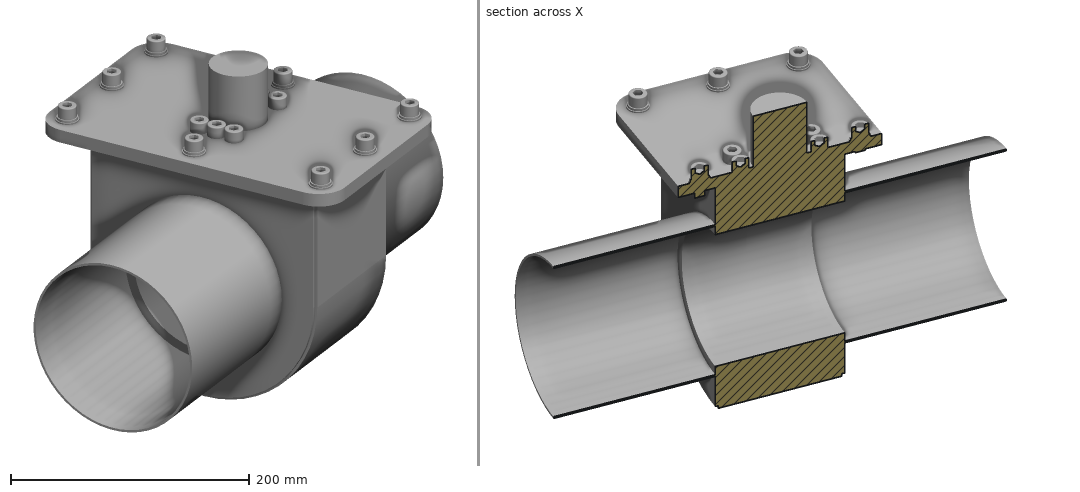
import cadquery as cq
import math

PIPE_LENGTH = 420.0
PIPE_OUTER_D = 154.0
PIPE_INNER_D = 150.0
BORE_D = 133.0

BODY_RADIUS = 110.0
BODY_DEPTH = 120.0
BODY_STEP = 2.5

PLATE_LENGTH = 287.0
PLATE_WIDTH = 189.0
PLATE_THICKNESS = 11.8
PLATE_CORNER_RADIUS = 25.0
PLATE_TOP = 125.5
PLATE_BOTTOM = PLATE_TOP - PLATE_THICKNESS

OVERALL_HEIGHT = 287.0
POST_D = 50.0
POST_TOP = OVERALL_HEIGHT - BODY_RADIUS

SCREW_D = 10.0
SCREW_TIP_CHAMFER = 1.0
HEAD_D = 16.0
HEAD_HEIGHT = 10.5
HEAD_ROUNDING = 1.0
SOCKET_ACROSS_FLATS = 8.0
SOCKET_DEPTH = 5.0
SOCKET_POINT_ANGLE = 120.0
SOCKET_CORNER_D = SOCKET_ACROSS_FLATS / math.cos(math.pi / 6)

FLAT_WASHER_D = 20.0
FLAT_WASHER_THICKNESS = 1.3
SPRING_WASHER_D = 18.0
SPRING_WASHER_THICKNESS = 2.0

COVER_SCREW_X = 123.0
COVER_SCREW_Y = 74.5
GLAND_SCREW_PITCH = 17.0
GLAND_SCREW_Y = 36.5

SHORT_TIP = 1.3
LONG_TIP = 5.0


def disc(diameter, bottom, height):
    return cq.Workplane("XY").workplane(offset=bottom).circle(diameter / 2).extrude(height)


def cylinder_along_y(diameter, length):
    return cq.Workplane("XZ").circle(diameter / 2).extrude(length / 2, both=True)


def u_block(radius, depth):
    """Block with a half-round bottom, reaching up to the cover plate."""
    return (
        cq.Workplane("XZ")
        .moveTo(-radius, PLATE_BOTTOM)
        .lineTo(-radius, 0)
        .threePointArc((0, -radius), (radius, 0))
        .lineTo(radius, PLATE_BOTTOM)
        .close()
        .extrude(depth / 2, both=True)
    )


def make_body():
    """Core block with a slightly smaller raised face at each end."""
    core = u_block(BODY_RADIUS, BODY_DEPTH - 2 * BODY_STEP)
    return core.union(u_block(BODY_RADIUS - BODY_STEP, BODY_DEPTH))


def make_plate():
    return (
        cq.Workplane("XY")
        .workplane(offset=PLATE_BOTTOM)
        .rect(PLATE_LENGTH, PLATE_WIDTH)
        .extrude(PLATE_THICKNESS)
        .edges("|Z")
        .fillet(PLATE_CORNER_RADIUS)
    )


def make_screw_head(seat):
    """Cylinder head with a hexagon socket that ends in a shallow cone."""
    top = seat + HEAD_HEIGHT
    head = disc(HEAD_D, seat, HEAD_HEIGHT).faces(">Z").edges().fillet(HEAD_ROUNDING)
    socket_floor = top - SOCKET_DEPTH
    socket = (
        cq.Workplane("XY")
        .workplane(offset=socket_floor)
        .polygon(6, SOCKET_CORNER_D)
        .extrude(SOCKET_DEPTH)
    )
    cone_radius = SOCKET_ACROSS_FLATS / 2
    cone_depth = cone_radius / math.tan(math.radians(SOCKET_POINT_ANGLE / 2))
    cone = cq.Workplane(
        cq.Solid.makeCone(
            cone_radius, 0, cone_depth, cq.Vector(0, 0, socket_floor), cq.Vector(0, 0, -1)
        )
    )
    return head.cut(socket).cut(cone)


def make_cover_screw(tip):
    """Screw through the plate, on a spring washer and a flat washer."""
    spring_bottom = PLATE_TOP + FLAT_WASHER_THICKNESS
    seat = spring_bottom + SPRING_WASHER_THICKNESS
    shank = (
        disc(SCREW_D, PLATE_BOTTOM - tip, PLATE_THICKNESS + tip)
        .faces("<Z")
        .edges()
        .chamfer(SCREW_TIP_CHAMFER)
    )
    return (
        make_screw_head(seat)
        .union(disc(SPRING_WASHER_D, spring_bottom, SPRING_WASHER_THICKNESS))
        .union(disc(FLAT_WASHER_D, PLATE_TOP, FLAT_WASHER_THICKNESS))
        .union(shank)
    )


result = make_body().union(make_plate()).union(disc(POST_D, PLATE_TOP, POST_TOP - PLATE_TOP))
result = result.union(cylinder_along_y(PIPE_OUTER_D, PIPE_LENGTH))

pipe_hollow = cylinder_along_y(PIPE_INNER_D, PIPE_LENGTH).cut(
    cylinder_along_y(PIPE_INNER_D, BODY_DEPTH)
)
result = result.cut(pipe_hollow).cut(cylinder_along_y(BORE_D, PIPE_LENGTH))

for column in (-1, 0, 1):
    for row in (-1, 0, 1):
        if column == 0 and row == 0:
            continue
        tip = LONG_TIP if (column, row) == (0, 1) else SHORT_TIP
        place = (column * COVER_SCREW_X, row * COVER_SCREW_Y, 0)
        result = result.union(make_cover_screw(tip).translate(place))

for column in (-1, 0, 1):
    for row in (-1, 1):
        place = (column * GLAND_SCREW_PITCH, row * GLAND_SCREW_Y, 0)
        result = result.union(make_screw_head(PLATE_TOP).translate(place))